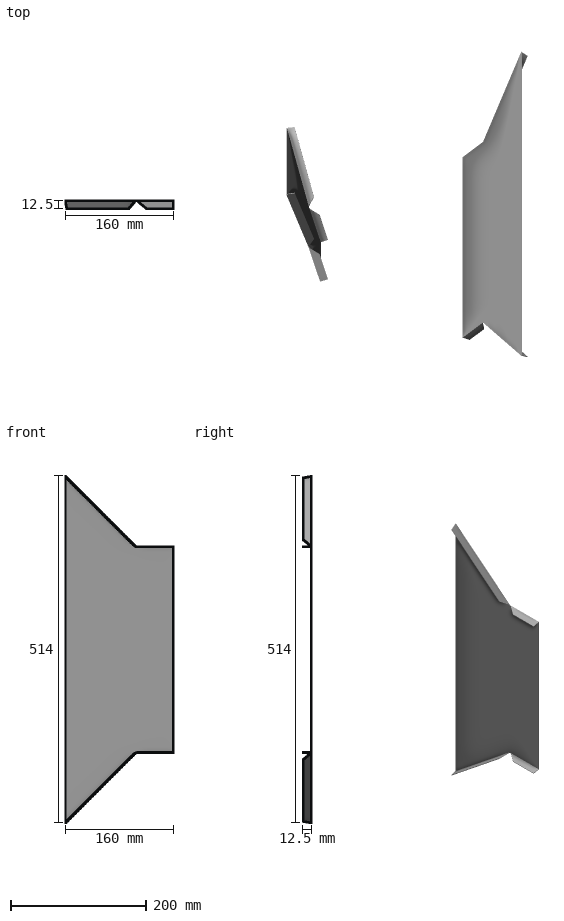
import cadquery as cq
import math

height = 514.0
width = 160.0
depth = 12.5
sheet = 1.0
corner_x = 104.5
corner_gap = 1.0
corner_cut_angle = 50.0
tip_cut_angle = 15.0

half_height = height / 2
corner_z = half_height - corner_x
slope_length = math.hypot(corner_x, corner_x)
straight_length = width - corner_x
corner_cut = depth * math.tan(math.radians(corner_cut_angle))
tip_cut = depth * math.tan(math.radians(tip_cut_angle))


def make_plate():
    """Flat sheet with its back face at Y = depth."""
    outline = [
        (0, -half_height),
        (corner_x, -corner_z),
        (width, -corner_z),
        (width, corner_z),
        (corner_x, corner_z),
        (0, half_height),
    ]
    plate = cq.Workplane("XZ").polyline(outline).close().extrude(sheet)
    return plate.translate((0, depth, 0))


def make_flange(length, start_cut, end_gap, end_cut):
    """Flange along +X with its outer face on Z = 0 and its free edge on Y = 0."""
    outline = [
        (0, depth),
        (start_cut, 0),
        (length - end_gap - end_cut, 0),
        (length - end_gap, depth),
    ]
    return cq.Workplane("XY").polyline(outline).close().extrude(-sheet)


slope_flange = make_flange(slope_length, tip_cut, 0, corner_cut)
slope_flange = slope_flange.rotate((0, 0, 0), (0, 1, 0), 45).translate((0, 0, half_height))

straight_flange = make_flange(straight_length, 0, corner_gap, corner_cut)
straight_flange = straight_flange.mirror("YZ").translate((width, 0, corner_z))

plate_envelope = cq.Workplane("XY").box(width, depth, height).translate((width / 2, depth / 2, 0))
slope_flange = slope_flange.intersect(plate_envelope)

result = make_plate()
for flange in (slope_flange, straight_flange):
    result = result.union(flange).union(flange.mirror("XY"))